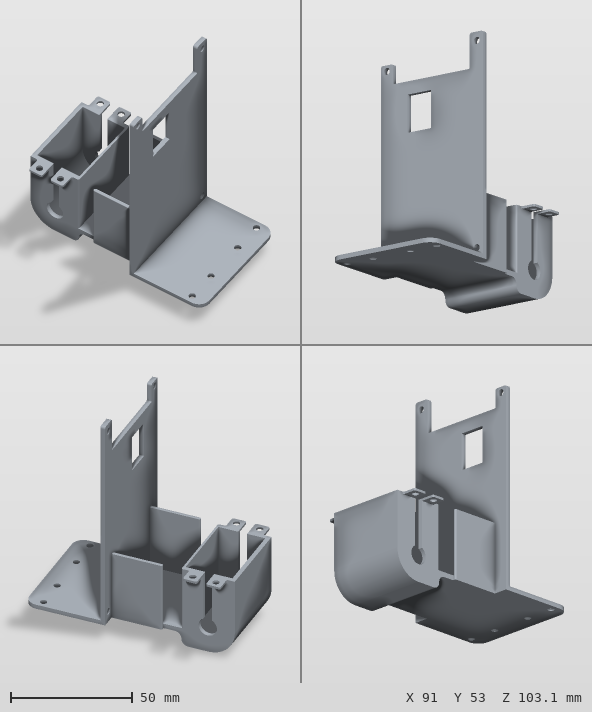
import cadquery as cq
import math

total_length = 91.0
total_width = 53.0
total_height = 103.1
small_hole = 3.0

box_length = 24.0
box_width = 37.0
box_top = 37.3
box_round = 12.0
box_wall = 2.0
box_back_wall = 1.0
box_toe_radius = 3.0
box_back_edge_radius = 0.7
shaft_x = 12.2
shaft_hole = 8.2
slot_width = 4.0

floor_bottom = 6.2
floor_thickness = 2.2
floor_blend_radius = 3.0

ear_span = 50.1
ear_thickness = 1.0
ear_hole_spacing = 44.1
ear_corner_radius = 0.8
ear_root_radius = 0.8
slot_left = shaft_x - slot_width / 2
slot_right = shaft_x + slot_width / 2
front_ear_start = 3.6
back_ear_end = 20.5
front_ear_hole_x = 6.9
back_ear_hole_x = 17.3

panel_start = 32.1
panel_thickness = 1.4

wall_start = 54.7
wall_thickness = 2.2
wall_notch_z = 87.8
tall_tab_width = 7.0
short_tab_width = 6.2
short_tab_top = 96.4
tall_tab_corner_radius = 1.0
short_tab_corner_radius = 0.8
tab_root_radius = 0.5
wall_holes = [(23.2, 99.3), (-23.4, 93.8), (23.2, 11.1)]
window_y = (-12.7, -0.5)
window_z = (66.0, 82.2)

flange_thickness = 2.0
flange_corner_radius = 5.2
flange_hole_x = 83.8
flange_hole_y = (9.7, 23.3)


def block(x, y, z):
    """Box given by its (low, high) limits along each axis."""
    size = [high - low for low, high in (x, y, z)]
    return cq.Workplane("XY").box(*size, centered=False).translate((x[0], y[0], z[0]))


def rounded_trough(x, z, radius, width):
    """Block along Y whose lower front edge is rounded."""
    half = width / 2
    return block(x, (-half, half), z).edges("|Y and <X and <Z").fillet(radius)


def round_edge(body, point, radius):
    """Fillet the edge of the body whose centre is closest to the point."""
    return body.edges(cq.selectors.NearestToPointSelector(point)).fillet(radius)


def box_and_floor():
    """Solid side profile of the box and the floor, with its edges rounded."""
    half = box_width / 2
    floor_top = floor_bottom + floor_thickness
    outline = [
        (0, 0),
        (box_length, 0),
        (box_length, floor_bottom),
        (wall_start, floor_bottom),
        (wall_start, floor_top),
        (box_length, floor_top),
        (box_length, box_top),
        (0, box_top),
    ]
    body = cq.Workplane("XZ").polyline(outline).close().extrude(half, both=True)
    body = round_edge(body, (0, 0, 0), box_round)
    body = round_edge(body, (box_length, 0, 0), box_toe_radius)
    body = round_edge(body, (box_length, 0, floor_bottom), floor_blend_radius)
    back_edge_z = (floor_top + box_top) / 2
    for y in (-half, half):
        body = round_edge(body, (box_length, y, back_edge_z), box_back_edge_radius)
    return body


def box_hollow():
    """Cavity, shaft hole and the slot that opens the hole to the rim."""
    cavity = rounded_trough(
        (box_wall, box_length - box_back_wall),
        (box_wall, box_top),
        box_round - box_wall,
        box_width - 2 * box_wall,
    )
    half = box_width / 2
    slot = block((slot_left, slot_right), (-half, half), (box_round, box_top))
    hole = (
        cq.Workplane("XZ", origin=(shaft_x, 0, box_round))
        .circle(shaft_hole / 2)
        .extrude(half, both=True)
    )
    return cavity.union(slot).union(hole)


def ear(x_start, x_end, root_side, hole_x):
    """Ear on the +Y side; root_side ("<X" or ">X") is the side away from the slot."""
    inner = box_width / 2
    outer = ear_span / 2
    z = (box_top - ear_thickness, box_top)
    tab = block((x_start, x_end), (inner - box_wall, outer), z)
    tab = tab.edges("|Z and >Y").fillet(ear_corner_radius)
    root_x = x_start if root_side == "<X" else x_end
    direction = -1 if root_side == "<X" else 1
    tip_x = root_x + direction * ear_root_radius
    arc_offset = ear_root_radius * (1 - math.sqrt(0.5))
    arc_middle = (root_x + direction * arc_offset, inner + arc_offset)
    root = (
        cq.Workplane("XY", origin=(0, 0, z[0]))
        .moveTo(root_x, inner)
        .lineTo(tip_x, inner)
        .threePointArc(arc_middle, (root_x, inner + ear_root_radius))
        .close()
        .extrude(ear_thickness)
    )
    hole = (
        cq.Workplane("XY", origin=(0, 0, z[0]))
        .center(hole_x, ear_hole_spacing / 2)
        .circle(small_hole / 2)
        .extrude(ear_thickness)
    )
    return tab.union(root).cut(hole)


def side_panel():
    """Panel on the +Y side; its front edge is fully rounded above the floor."""
    inner = box_width / 2
    edge_radius = panel_thickness / 2
    middle_x = panel_start + edge_radius
    middle_y = inner + edge_radius
    plate = block((middle_x, wall_start), (inner, inner + panel_thickness), (floor_bottom, box_top))
    front_edge = (
        cq.Workplane("XY", origin=(middle_x, middle_y, floor_bottom))
        .circle(edge_radius)
        .extrude(box_top - floor_bottom)
    )
    foot = block((panel_start, middle_x), (inner, middle_y), (floor_bottom, floor_bottom + floor_thickness))
    return plate.union(front_edge).union(foot)


def upright_wall():
    half = total_width / 2
    x = (wall_start, wall_start + wall_thickness)
    tall_tab_y = half - tall_tab_width
    short_tab_y = short_tab_width - half
    wall = block(x, (-half, half), (floor_bottom, wall_notch_z))
    tall_tab = block(x, (tall_tab_y, half), (floor_bottom, total_height))
    short_tab = block(x, (-half, short_tab_y), (floor_bottom, short_tab_top))
    tall_tab = tall_tab.edges("|X and >Z").fillet(tall_tab_corner_radius)
    short_tab = short_tab.edges("|X and >Z").fillet(short_tab_corner_radius)
    wall = wall.union(tall_tab).union(short_tab)
    for y in (tall_tab_y, short_tab_y):
        root = (wall_start + wall_thickness / 2, y, wall_notch_z)
        wall = round_edge(wall, root, tab_root_radius)
    holes = (
        cq.Workplane("YZ", origin=(wall_start, 0, 0))
        .pushPoints(wall_holes)
        .circle(small_hole / 2)
        .extrude(wall_thickness)
    )
    return wall.cut(holes).cut(block(x, window_y, window_z))


def rear_flange():
    half = total_width / 2
    flange = block(
        (wall_start, total_length), (-half, half), (floor_bottom, floor_bottom + flange_thickness)
    )
    flange = flange.edges("|Z and >X").fillet(flange_corner_radius)
    hole_points = [(flange_hole_x, side * y) for y in flange_hole_y for side in (-1, 1)]
    holes = (
        cq.Workplane("XY", origin=(0, 0, floor_bottom))
        .pushPoints(hole_points)
        .circle(small_hole / 2)
        .extrude(flange_thickness)
    )
    return flange.cut(holes)


mirrored_parts = [
    ear(front_ear_start, slot_left, "<X", front_ear_hole_x),
    ear(slot_right, back_ear_end, ">X", back_ear_hole_x),
    side_panel(),
]

body = box_and_floor().cut(box_hollow())
for piece in mirrored_parts:
    body = body.union(piece).union(piece.mirror("XZ"))
result = body.union(upright_wall()).union(rear_flange())